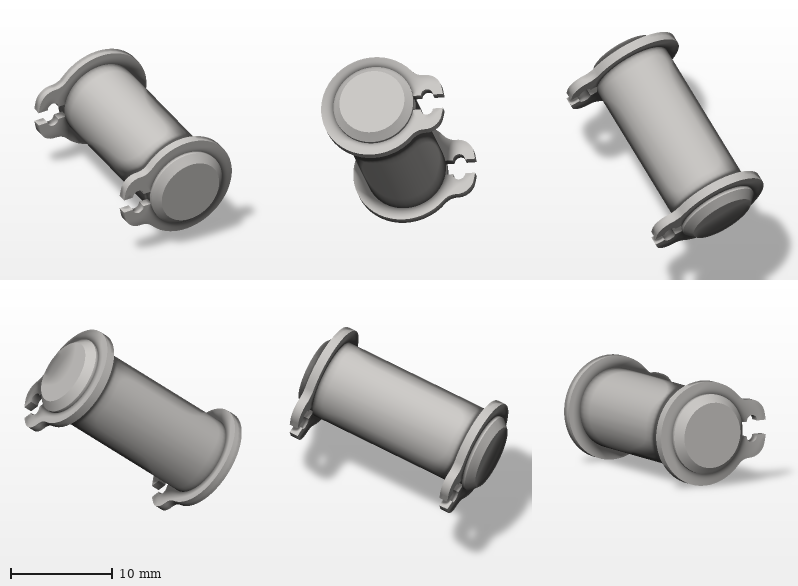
import cadquery as cq
import math

pin_length = 20.0
pin_radius = 4.0
end_chamfer = 0.75

ring_thickness = 0.9
ring_inset = 1.08
groove_radius = 3.8
ring_diameter = 10.38
ring_radius = ring_diameter / 2
ring_center_y = 0.12

ear_tip_y = -6.92
ear_center_y = -5.1
ear_center_z = 1.2
ear_radius = 1.7
ear_flank_z = 1.5
neck_radius = 1.6
gap_half_width = 0.75

plier_hole_y = -5.3
plier_hole_radius = 0.6


def neck_center():
    """Center (y, z) of the concave arc tangent to the ring rim and to the ear."""
    rim_reach = ring_radius + neck_radius
    ear_reach = ear_radius + neck_radius
    dy = ear_center_y - ring_center_y
    dz = ear_center_z
    distance = math.hypot(dy, dz)
    along = (rim_reach**2 - ear_reach**2 + distance**2) / (2 * distance)
    across = math.sqrt(rim_reach**2 - along**2)
    return (
        ring_center_y + (along * dy + across * dz) / distance,
        (along * dz - across * dy) / distance,
    )


def point_toward(start, target, distance):
    """Point at a given distance from start, in the direction of target."""
    scale = distance / math.dist(start, target)
    return tuple(s + (t - s) * scale for s, t in zip(start, target))


def mirrored(point):
    return (point[0], -point[1])


def make_ring(x_start):
    ring_center = (ring_center_y, 0)
    ear_center = (ear_center_y, ear_center_z)
    neck = neck_center()
    rim_end = point_toward(ring_center, neck, ring_radius)
    ear_start = point_toward(ear_center, neck, ear_radius)
    neck_middle_target = ((rim_end[0] + ear_start[0]) / 2, (rim_end[1] + ear_start[1]) / 2)
    neck_middle = point_toward(neck, neck_middle_target, neck_radius)
    flank_rise = ear_flank_z - ear_center_z
    ear_end = (ear_center_y - math.sqrt(ear_radius**2 - flank_rise**2), ear_flank_z)
    ear_middle_target = ((ear_start[0] + ear_end[0]) / 2, (ear_start[1] + ear_end[1]) / 2)
    ear_middle = point_toward(ear_center, ear_middle_target, ear_radius)
    tip = (ear_tip_y, gap_half_width)

    plane = cq.Workplane("YZ", origin=(x_start, 0, 0))
    ring = (
        plane.moveTo(*tip)
        .lineTo(*ear_end)
        .threePointArc(ear_middle, ear_start)
        .threePointArc(neck_middle, rim_end)
        .threePointArc((ring_center_y + ring_radius, 0), mirrored(rim_end))
        .threePointArc(mirrored(neck_middle), mirrored(ear_start))
        .threePointArc(mirrored(ear_middle), mirrored(ear_end))
        .lineTo(*mirrored(tip))
        .close()
        .extrude(ring_thickness)
    )
    gap_length = -ear_tip_y
    gap = plane.center(-gap_length / 2, 0).rect(gap_length, 2 * gap_half_width).extrude(ring_thickness)
    holes = (
        plane.pushPoints([(plier_hole_y, gap_half_width), (plier_hole_y, -gap_half_width)])
        .circle(plier_hole_radius)
        .extrude(ring_thickness)
    )
    return ring.cut(gap).cut(holes)


def make_groove(x_start):
    return (
        cq.Workplane("YZ", origin=(x_start, 0, 0))
        .circle(pin_radius)
        .circle(groove_radius)
        .extrude(ring_thickness)
    )


half_length = pin_length / 2
ring_starts = (-half_length + ring_inset, half_length - ring_inset - ring_thickness)

result = (
    cq.Workplane("YZ", origin=(-half_length, 0, 0))
    .circle(pin_radius)
    .extrude(pin_length)
    .edges("%CIRCLE")
    .chamfer(end_chamfer)
)
for ring_start in ring_starts:
    result = result.cut(make_groove(ring_start)).union(make_ring(ring_start))